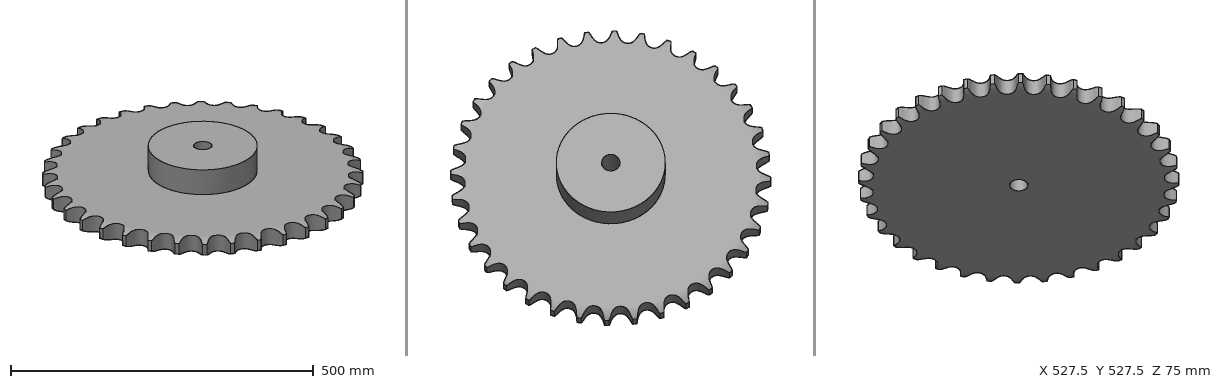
import cadquery as cq
import math

TOOTH_COUNT = 36
CHAIN_PITCH = 44.45
ROLLER_DIAMETER = 27.94
TIP_DIAMETER = 529.0
PLATE_THICKNESS = 29.4
HUB_DIAMETER = 180.0
BORE_DIAMETER = 30.0
TOTAL_HEIGHT = 75.0

RELIEF_ARC_RADIUS = 44.0
RELIEF_DEPTH = 5.0

SEAT_CLEARANCE = 0.0381
SEAT_RADIUS = 0.5025 * ROLLER_DIAMETER + SEAT_CLEARANCE
WORKING_CENTRE_OFFSET = 0.8 * ROLLER_DIAMETER
WORKING_RADIUS = SEAT_RADIUS + WORKING_CENTRE_OFFSET
TOPPING_CENTRE_OFFSET = 1.4 * ROLLER_DIAMETER
SEAT_RISE_ANGLE = 35.0 + 60.0 / TOOTH_COUNT
WORKING_SWEEP = 18.0 - 56.0 / TOOTH_COUNT

TOOTH_ANGLE = 360.0 / TOOTH_COUNT
HALF_TOOTH_ANGLE = TOOTH_ANGLE / 2
PITCH_RADIUS = CHAIN_PITCH / (2 * math.sin(math.radians(HALF_TOOTH_ANGLE)))
TIP_RADIUS = TIP_DIAMETER / 2
RELIEF_WIDTH = math.sqrt(RELIEF_ARC_RADIUS**2 - (RELIEF_ARC_RADIUS - RELIEF_DEPTH) ** 2)
RELIEF_START_RADIUS = TIP_RADIUS - RELIEF_WIDTH


def polar_offset(origin, radius, angle):
    """Point at a distance and an angle (degrees from +X) from an origin."""
    turn = math.radians(angle)
    return (origin[0] + radius * math.cos(turn), origin[1] + radius * math.sin(turn))


def turn_about_axis(point, angle):
    """Point turned about the part's axis by an angle in degrees."""
    return polar_offset((0, 0), math.hypot(*point), math.degrees(math.atan2(point[1], point[0])) + angle)


def mirror_across_gap(point):
    """Point on the other side of the gap centred on the X axis."""
    return (point[0], -point[1])


def make_blank():
    """Bored plate and hub, with both faces of the rim rounded, revolved about the Z axis."""
    bore_radius = BORE_DIAMETER / 2
    hub_radius = HUB_DIAMETER / 2
    half_sweep = math.asin(RELIEF_WIDTH / RELIEF_ARC_RADIUS) / 2
    middle_radius = RELIEF_START_RADIUS + RELIEF_ARC_RADIUS * math.sin(half_sweep)
    middle_depth = RELIEF_ARC_RADIUS * (1 - math.cos(half_sweep))
    profile = (
        cq.Workplane("XZ")
        .moveTo(bore_radius, 0)
        .lineTo(RELIEF_START_RADIUS, 0)
        .threePointArc((middle_radius, middle_depth), (TIP_RADIUS, RELIEF_DEPTH))
        .lineTo(TIP_RADIUS, PLATE_THICKNESS - RELIEF_DEPTH)
        .threePointArc(
            (middle_radius, PLATE_THICKNESS - middle_depth),
            (RELIEF_START_RADIUS, PLATE_THICKNESS),
        )
        .lineTo(hub_radius, PLATE_THICKNESS)
        .lineTo(hub_radius, TOTAL_HEIGHT)
        .lineTo(bore_radius, TOTAL_HEIGHT)
        .close()
    )
    return profile.revolve(360, (0, 0, 0), (0, 1, 0))


def half_gap_points():
    """One side of the gap on the X axis, from its bottom to the crest of the pointed tooth.

    Returns the bottom, seat middle, seat end, working arc middle, working arc end,
    flank end, topping arc middle and crest.
    """
    roller_centre = (PITCH_RADIUS, 0)
    bottom = (PITCH_RADIUS - SEAT_RADIUS, 0)

    seat_end_direction = 90 + SEAT_RISE_ANGLE
    seat_middle = polar_offset(roller_centre, SEAT_RADIUS, (180 + seat_end_direction) / 2)
    seat_end = polar_offset(roller_centre, SEAT_RADIUS, seat_end_direction)

    flank_normal = seat_end_direction - WORKING_SWEEP
    working_centre = polar_offset(roller_centre, -WORKING_CENTRE_OFFSET, seat_end_direction)
    working_middle = polar_offset(working_centre, WORKING_RADIUS, (seat_end_direction + flank_normal) / 2)
    working_end = polar_offset(working_centre, WORKING_RADIUS, flank_normal)

    topping_centre = polar_offset(roller_centre, TOPPING_CENTRE_OFFSET, 90 + HALF_TOOTH_ANGLE)
    normal_x, normal_y = polar_offset((0, 0), 1, flank_normal)
    topping_radius = (
        (topping_centre[0] - working_end[0]) * normal_x
        + (topping_centre[1] - working_end[1]) * normal_y
    )
    flank_end_direction = flank_normal - 180
    flank_end = polar_offset(topping_centre, topping_radius, flank_end_direction)

    crest_reach = -turn_about_axis(topping_centre, -HALF_TOOTH_ANGLE)[1]
    crest_direction = HALF_TOOTH_ANGLE + math.degrees(math.asin(crest_reach / topping_radius))
    topping_middle = polar_offset(topping_centre, topping_radius, (flank_end_direction + crest_direction) / 2)
    crest = polar_offset(topping_centre, topping_radius, crest_direction)

    return [bottom, seat_middle, seat_end, working_middle, working_end, flank_end, topping_middle, crest]


def make_toothed_prism():
    """Prism whose outline is the full ring of pointed teeth, with a gap centred on the +X axis."""
    upper_side = half_gap_points()
    bottom, seat_middle, seat_end, working_middle, working_end, flank_end, topping_middle, crest = upper_side
    (
        _,
        lower_seat_middle,
        lower_seat_end,
        lower_working_middle,
        lower_working_end,
        lower_flank_end,
        lower_topping_middle,
        lower_crest,
    ) = [mirror_across_gap(point) for point in upper_side]

    outline = cq.Workplane("XY").moveTo(*lower_crest)
    for index in range(TOOTH_COUNT):

        def placed(point, angle=index * TOOTH_ANGLE):
            return turn_about_axis(point, angle)

        outline = (
            outline.threePointArc(placed(lower_topping_middle), placed(lower_flank_end))
            .lineTo(*placed(lower_working_end))
            .threePointArc(placed(lower_working_middle), placed(lower_seat_end))
            .threePointArc(placed(lower_seat_middle), placed(bottom))
            .threePointArc(placed(seat_middle), placed(seat_end))
            .threePointArc(placed(working_middle), placed(working_end))
            .lineTo(*placed(flank_end))
            .threePointArc(placed(topping_middle), placed(crest))
        )
    return outline.close().extrude(TOTAL_HEIGHT, clean=False)


result = make_blank().intersect(make_toothed_prism(), clean=False)